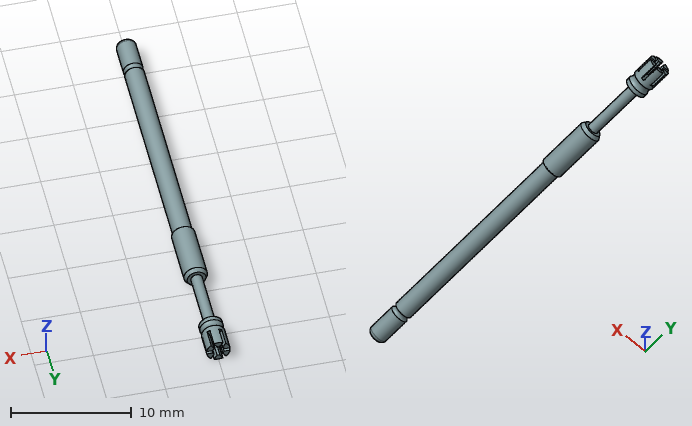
import cadquery as cq

total_length = 35.3

head_diameter = 2.0
head_radius = head_diameter / 2
head_length = 3.0
head_bore_radius = 0.5
slot_count = 6
slot_width = 0.3
slot_depth = 1.55
head_groove_start = 1.98
head_groove_width = 0.65
head_groove_depth = 0.1

rod_radius = 0.5

collar_radius = head_radius
collar_start = 8.3
collar_end = 13.35
collar_chamfer_length = 0.35
collar_chamfer_depth = 0.2

barrel_radius = 0.85
barrel_groove_start = 31.85
barrel_groove_width = 0.5
barrel_groove_depth = 0.15
tail_round = 0.4

head_end = total_length / 2


def axial(distance):
    """Y position at the given distance behind the head's front face."""
    return head_end - distance


def turned(radius, start, end):
    """Solid cylinder about Y between two distances behind the front face."""
    return cq.Workplane("XZ", origin=(0, axial(start), 0)).circle(radius).extrude(end - start)


def round_groove(radius, start, width, depth):
    """Ring cutter for a groove of circular-arc section around a cylinder of the given radius."""
    profile = (
        cq.Workplane("XY")
        .moveTo(radius, axial(start))
        .threePointArc((radius - depth, axial(start + width / 2)), (radius, axial(start + width)))
        .close()
    )
    return profile.revolve(360, (0, 0, 0), (0, 1, 0))


def make_head():
    """Slotted crown with a blind bore and a groove behind the slots."""
    head = turned(head_radius, 0, head_length)
    head = head.cut(turned(head_bore_radius, 0, slot_depth))
    slot = cq.Workplane("XY").box(head_radius * 2, slot_depth, slot_width)
    slot = slot.translate((head_radius, axial(slot_depth / 2), 0))
    for index in range(slot_count):
        angle = index * 360 / slot_count
        head = head.cut(slot.rotate((0, 0, 0), (0, 1, 0), angle))
    return head.cut(round_groove(head_radius, head_groove_start, head_groove_width, head_groove_depth))


def make_collar():
    """Collar with a long chamfer facing the head."""
    profile = [
        (0, axial(collar_start)),
        (collar_radius - collar_chamfer_depth, axial(collar_start)),
        (collar_radius, axial(collar_start + collar_chamfer_length)),
        (collar_radius, axial(collar_end)),
        (0, axial(collar_end)),
    ]
    return cq.Workplane("XY").polyline(profile).close().revolve(360, (0, 0, 0), (0, 1, 0))


def make_barrel():
    """Barrel with a rounded tail and a crimp groove."""
    barrel = turned(barrel_radius, collar_end, total_length).faces("<Y").edges().fillet(tail_round)
    return barrel.cut(
        round_groove(barrel_radius, barrel_groove_start, barrel_groove_width, barrel_groove_depth)
    )


rod = turned(rod_radius, head_length, collar_start)
result = make_head().union(rod).union(make_collar()).union(make_barrel())